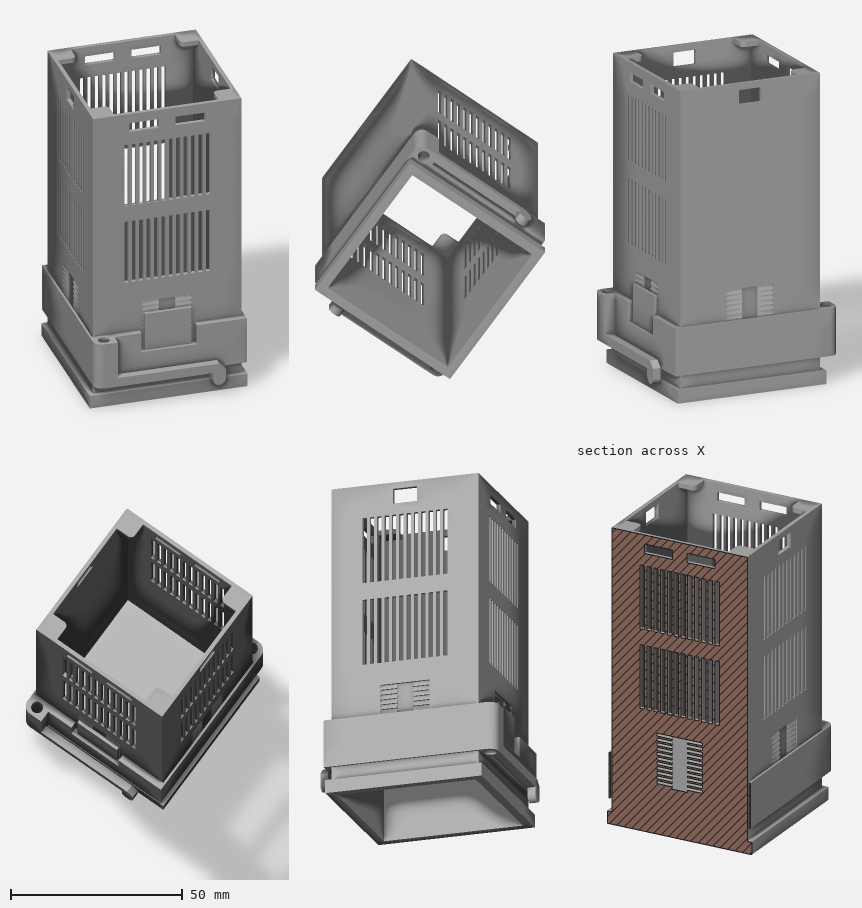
import cadquery as cq

HEIGHT = 94.0
TUBE = 45.1
WALL = 1.2
TUBE_HALF = TUBE / 2
OPENING = TUBE - 2 * WALL
BEZEL = 48.0
BEZEL_HEIGHT = 4.0

GUSSET_EDGE = 15.9
GUSSET_THICKNESS = 1.5
GUSSET_RADIUS = 1.4

SLOT_COUNT = 12
SLOT_PITCH = 2.3
SLOT_WIDTH = 1.3
SLOT_HEIGHT = 20.0
SLOT_ROW_BOTTOMS = (38.8, 64.0)

SINGLE_WINDOW_WIDTH = 7.3
SINGLE_WINDOW_BOTTOM = 87.5
SINGLE_WINDOW_HEIGHT = 4.5
PAIRED_WINDOW_WIDTH = 9.0
PAIRED_WINDOW_OFFSET = 7.05
PAIRED_WINDOW_BOTTOM = 88.2
PAIRED_WINDOW_HEIGHT = 2.8

TOOTH_COUNT = 11
TOOTH_PITCH = 1.5
TOOTH_DEPTH = 0.61
CHANNEL_DEPTH = 0.75
RATCHET_TOP = 32.0
RATCHET_WIDTH = 15.0
CHANNEL_WIDTH = RATCHET_WIDTH / 3

RING_BOTTOM = 8.2
RING_TOP = 22.7
RING_HEIGHT = RING_TOP - RING_BOTTOM
RING_X = 49.3
RING_Y = 47.2
RING_BORE_Y = 45.9
RING_HALF_Y = RING_Y / 2

TAB_WIDTH = 14.2
TAB_THICKNESS = 1.0
TAB_TOP = 28.2
NOTCH_WIDTH = 16.9
NOTCH_BOTTOM = 16.45

LUG_HALF_X = 56.5 / 2
LUG_LENGTH = 6.9
LUG_RADIUS = 2.8
LUG_INNER_Y = RING_HALF_Y - LUG_LENGTH
LUG_HOLE_DIAMETER = 3.5
LUG_HOLE_X = 25.5
LUG_HOLE_Y = RING_HALF_Y - LUG_LENGTH / 2
ARM_THICKNESS = 2.4
ARM_TOP = 11.0
ARM_END_Y = -16.1
ARM_CHAMFER = 2.0
HOOK_WIDTH = 3.9


def box(x_range, y_range, z_range):
    """Box between the given limits along each axis."""
    (x0, x1), (y0, y1), (z0, z1) = x_range, y_range, z_range
    return cq.Workplane("XY").box(x1 - x0, y1 - y0, z1 - z0, centered=False).translate((x0, y0, z0))


def wall_cutter(center, width, bottom, height):
    """Box that cuts an opening through the +X wall, centred on the given Y."""
    return box(
        (TUBE_HALF - 2 * WALL, TUBE_HALF + WALL),
        (center - width / 2, center + width / 2),
        (bottom, bottom + height),
    )


def turned(shape, angle):
    """Shape turned about the tube axis."""
    return shape.rotate((0, 0, 0), (0, 0, 1), angle)


def corner_gusset():
    """Rounded plate that fills the +X +Y corner of the top end."""
    reach = (GUSSET_EDGE, TUBE_HALF - WALL / 2)
    plate = box(reach, reach, (HEIGHT - GUSSET_THICKNESS, HEIGHT))
    return plate.edges("|Z and <X and <Y").fillet(GUSSET_RADIUS)


def vent_slots():
    """Both rows of slots of the +X wall."""
    slots = cq.Workplane("XY")
    for bottom in SLOT_ROW_BOTTOMS:
        for index in range(SLOT_COUNT):
            center = (index - (SLOT_COUNT - 1) / 2) * SLOT_PITCH
            slots = slots.add(wall_cutter(center, SLOT_WIDTH, bottom, SLOT_HEIGHT))
    return slots.combine()


def ratchet_pocket():
    """Cutters for the +X wall: the sawtooth columns and the plain channel between them."""
    tooth_root = TUBE_HALF - TOOTH_DEPTH
    bottom = RATCHET_TOP - TOOTH_COUNT * TOOTH_PITCH
    outside = TUBE_HALF + TOOTH_DEPTH
    profile = [(outside, RATCHET_TOP)]
    for index in range(TOOTH_COUNT):
        tooth_top = RATCHET_TOP - index * TOOTH_PITCH
        profile += [(tooth_root, tooth_top), (TUBE_HALF, tooth_top - TOOTH_PITCH)]
    profile.append((outside, bottom))
    columns = cq.Workplane("XZ").polyline(profile).close().extrude(RATCHET_WIDTH / 2, both=True)
    half_channel = CHANNEL_WIDTH / 2
    channel = box(
        (TUBE_HALF - CHANNEL_DEPTH, TUBE_HALF),
        (-half_channel, half_channel),
        (bottom, RATCHET_TOP),
    )
    return columns, channel


def make_housing():
    housing = cq.Workplane("XY").rect(BEZEL, BEZEL).extrude(BEZEL_HEIGHT)
    housing = housing.union(cq.Workplane("XY").rect(TUBE, TUBE).extrude(HEIGHT))
    housing = housing.cut(cq.Workplane("XY").rect(OPENING, OPENING).extrude(HEIGHT))

    gusset = corner_gusset()
    columns, channel = ratchet_pocket()
    for angle in (0, 90, 180, 270):
        housing = housing.union(turned(gusset, angle))
        housing = housing.cut(turned(columns, angle)).cut(turned(channel, angle))

    slots = vent_slots()
    for angle in (0, 180, 270):
        housing = housing.cut(turned(slots, angle))

    single = wall_cutter(0, SINGLE_WINDOW_WIDTH, SINGLE_WINDOW_BOTTOM, SINGLE_WINDOW_HEIGHT)
    for angle in (90, 270):
        housing = housing.cut(turned(single, angle))
    for angle in (0, 180):
        for center in (-PAIRED_WINDOW_OFFSET, PAIRED_WINDOW_OFFSET):
            window = wall_cutter(center, PAIRED_WINDOW_WIDTH, PAIRED_WINDOW_BOTTOM, PAIRED_WINDOW_HEIGHT)
            housing = housing.cut(turned(window, angle))
    return housing


def screw_lug():
    """Lug on the -X +Y corner, before its hole is drilled."""
    lug = box((-LUG_HALF_X, -TUBE_HALF), (LUG_INNER_Y, RING_HALF_Y), (RING_BOTTOM, RING_TOP))
    return lug.edges("|Z and <X and >Y").fillet(LUG_RADIUS)


def hooked_arm():
    """Arm that runs from the -X lug towards -Y and ends in a round-tipped hook pointing down."""
    hook_radius = HOOK_WIDTH / 2
    hook_inner_y = ARM_END_Y + HOOK_WIDTH
    tip_center_z = BEZEL_HEIGHT + hook_radius
    profile = (
        cq.Workplane("YZ")
        .moveTo(LUG_INNER_Y, RING_BOTTOM)
        .lineTo(LUG_INNER_Y, ARM_TOP)
        .lineTo(ARM_END_Y + ARM_CHAMFER, ARM_TOP)
        .lineTo(ARM_END_Y, ARM_TOP - ARM_CHAMFER)
        .lineTo(ARM_END_Y, tip_center_z)
        .threePointArc((ARM_END_Y + hook_radius, BEZEL_HEIGHT), (hook_inner_y, tip_center_z))
        .lineTo(hook_inner_y, RING_BOTTOM)
        .close()
    )
    return profile.extrude(ARM_THICKNESS).translate((-LUG_HALF_X, 0, 0))


def make_ring():
    band = cq.Workplane("XY").workplane(offset=RING_BOTTOM)
    ring = band.rect(RING_X, RING_Y).extrude(RING_HEIGHT)

    lug = screw_lug()
    for angle in (0, 180):
        ring = ring.union(turned(lug, angle))
    ring = ring.cut(band.rect(TUBE, RING_BORE_Y).extrude(RING_HEIGHT))

    notch = box((-RING_X / 2, -TUBE_HALF), (-NOTCH_WIDTH / 2, NOTCH_WIDTH / 2), (NOTCH_BOTTOM, RING_TOP))
    tab = box(
        (-TUBE_HALF - TAB_THICKNESS, -TUBE_HALF),
        (-TAB_WIDTH / 2, TAB_WIDTH / 2),
        (NOTCH_BOTTOM, TAB_TOP),
    )
    hole = band.center(-LUG_HOLE_X, LUG_HOLE_Y).circle(LUG_HOLE_DIAMETER / 2).extrude(RING_HEIGHT)
    arm = hooked_arm()
    for angle in (0, 180):
        ring = ring.cut(turned(notch, angle)).cut(turned(hole, angle))
        ring = ring.union(turned(tab, angle)).union(turned(arm, angle))
    return ring


housing = make_housing()
ring = make_ring()
result = cq.Compound.makeCompound([housing.val(), ring.val()])